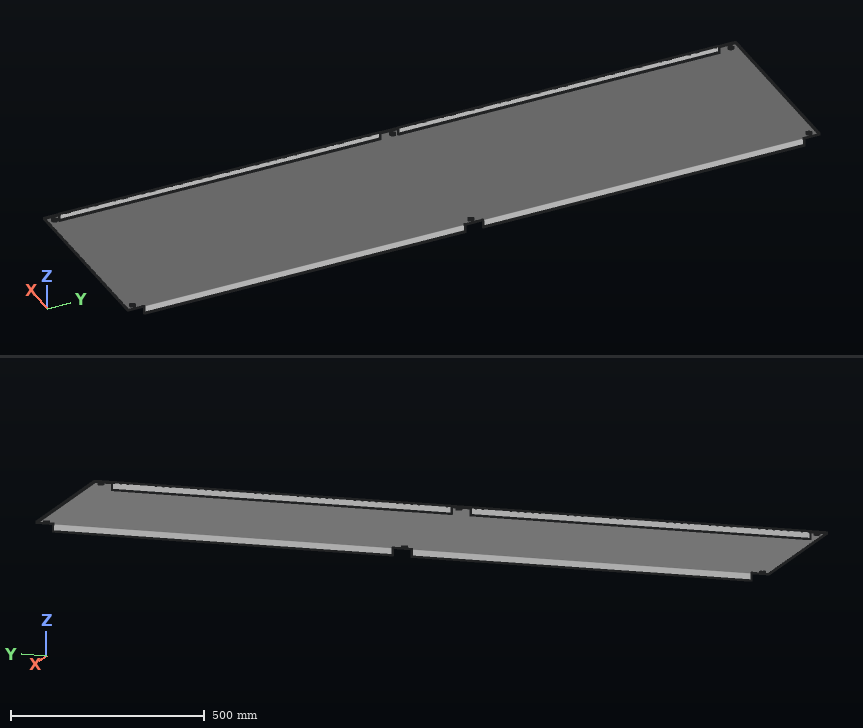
import cadquery as cq
import math

length = 1981.0
width = 507.0
height = 22.0

thickness = 3.0
bend_radius = 5.0

corner_relief = 45.0
middle_gap = 52.0

hole_diameter = 12.7
hole_edge_offset = 22.0
hole_spacing_x = 464.0
hole_spacing_y = length / 2 - hole_edge_offset
hole_columns = 2
hole_rows = 3

plate_width = width - 2 * bend_radius
flange_length = (length - 2 * corner_relief - middle_gap) / 2
flange_center_y = (middle_gap + flange_length) / 2


def make_plate():
    """Flat sheet whose top face lies at Z = 0."""
    sheet = cq.Workplane("XY").box(plate_width, length, thickness)
    return sheet.translate((0, 0, -thickness / 2))


def offset_diagonally(point, distance):
    """Move a 2D point by the same distance along both axes."""
    return (point[0] + distance, point[1] + distance)


def make_flange(center_y):
    """Bent flange on the +X edge, hanging down from the sheet."""
    bend_x = plate_width / 2
    inner_radius = bend_radius - thickness
    outer_x = bend_x + bend_radius
    inner_x = outer_x - thickness
    bend_center = (bend_x, -bend_radius)
    diagonal = math.sin(math.pi / 4)
    outer_mid = offset_diagonally(bend_center, bend_radius * diagonal)
    inner_mid = offset_diagonally(bend_center, inner_radius * diagonal)
    return (
        cq.Workplane("XZ", origin=(0, center_y, 0))
        .moveTo(bend_x, 0)
        .threePointArc(outer_mid, (outer_x, -bend_radius))
        .lineTo(outer_x, -height)
        .lineTo(inner_x, -height)
        .lineTo(inner_x, -bend_radius)
        .threePointArc(inner_mid, (bend_x, -thickness))
        .close()
        .extrude(flange_length / 2, both=True)
    )


def make_holes():
    """Cutters for three rows of two holes: both ends and the middle."""
    return (
        cq.Workplane("XY")
        .rarray(hole_spacing_x, hole_spacing_y, hole_columns, hole_rows)
        .circle(hole_diameter / 2)
        .extrude(thickness, both=True)
    )


result = make_plate()
for center_y in (-flange_center_y, flange_center_y):
    right_flange = make_flange(center_y)
    result = result.union(right_flange).union(right_flange.mirror("YZ"))
result = result.cut(make_holes())

result = result.translate((0, 0, height / 2))